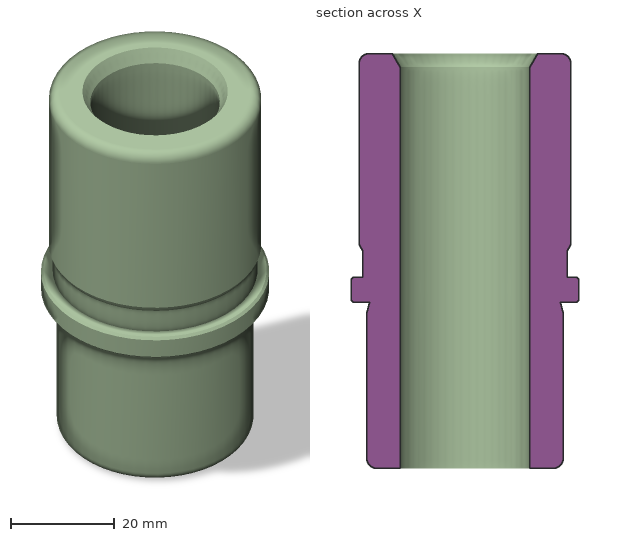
import cadquery as cq
import math

total_height = 80.0
flange_bottom = 32.0
flange_height = 5.0
flange_top = flange_bottom + flange_height
neck_top = 41.9

flange_diameter = 44.0
upper_diameter = 41.0
neck_diameter = 39.5
lower_diameter = 38.0
bore_diameter = 25.0

end_fillet = 2.0
flange_chamfer = 0.5
neck_taper_height = 1.3
relief_height = 2.0
relief_angle = 15.0
lead_in_width = 1.5
lead_in_angle = 30.0


def make_flange():
    """Collar with both rims chamfered."""
    flange = cq.Workplane("XY").workplane(offset=flange_bottom)
    flange = flange.circle(flange_diameter / 2).extrude(flange_height)
    return flange.faces("<Z or >Z").edges().chamfer(flange_chamfer)


def make_lower_body():
    """Rounded lower sleeve that narrows conically just under the flange."""
    radius = lower_diameter / 2
    relief_depth = relief_height * math.tan(math.radians(relief_angle))
    profile = (
        cq.Workplane("XZ")
        .lineTo(radius, 0)
        .lineTo(radius, flange_bottom - relief_height)
        .lineTo(radius - relief_depth, flange_bottom)
        .lineTo(0, flange_bottom)
        .close()
    )
    body = profile.revolve(360, (0, 0), (0, 1))
    return body.faces("<Z").edges().fillet(end_fillet)


def make_upper_body():
    """Neck above the flange, opening conically into the rounded upper sleeve."""
    profile = (
        cq.Workplane("XZ")
        .moveTo(0, flange_top)
        .lineTo(neck_diameter / 2, flange_top)
        .lineTo(neck_diameter / 2, neck_top)
        .lineTo(upper_diameter / 2, neck_top + neck_taper_height)
        .lineTo(upper_diameter / 2, total_height)
        .lineTo(0, total_height)
        .close()
    )
    body = profile.revolve(360, (0, 0), (0, 1))
    return body.faces(">Z").edges().fillet(end_fillet)


def make_bore():
    """Through bore with a conical lead-in at the upper mouth."""
    radius = bore_diameter / 2
    lead_in_depth = lead_in_width / math.tan(math.radians(lead_in_angle))
    profile = (
        cq.Workplane("XZ")
        .lineTo(radius, 0)
        .lineTo(radius, total_height - lead_in_depth)
        .lineTo(radius + lead_in_width, total_height)
        .lineTo(0, total_height)
        .close()
    )
    return profile.revolve(360, (0, 0), (0, 1))


result = make_lower_body().union(make_flange()).union(make_upper_body())
result = result.cut(make_bore())